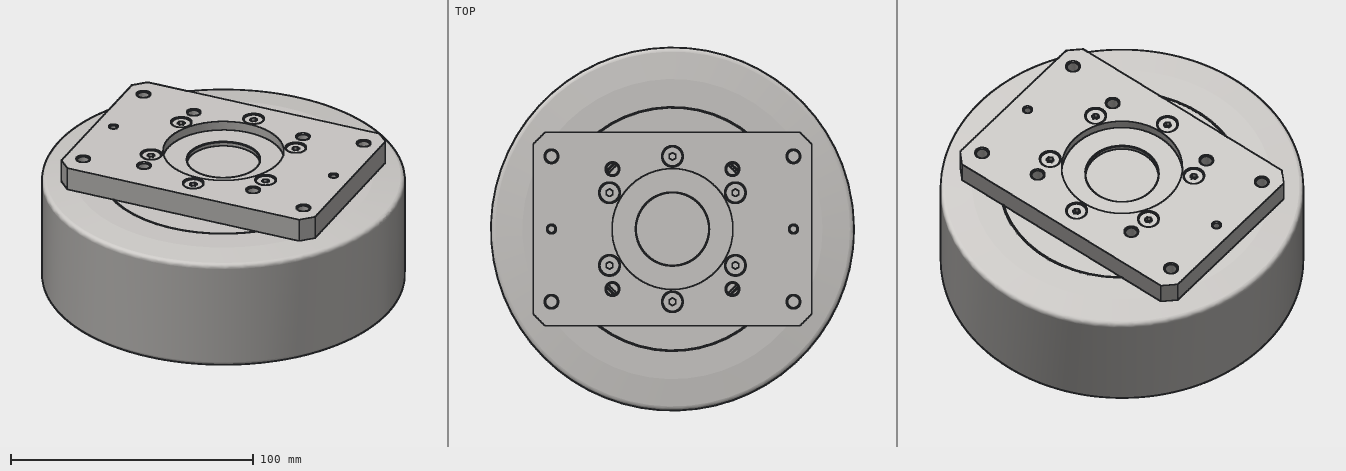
import cadquery as cq
import math

overall_height = 61.0
plate_thickness = 10.0
neck_gap_height = 1.0
drum_height = overall_height - plate_thickness - neck_gap_height
plate_top = overall_height
plate_bottom = plate_top - plate_thickness

drum_diameter = 150
flat_diameter = 123.9
shoulder_angle = 5
rim_radius = 2.0

groove_inner_diameter = 100.0
groove_width = 0.5
groove_depth = 1.0

neck_diameter = 70.0
clearance_width = 0.9
clearance_depth = 1.0
clearance_chamfer = 0.5

plate_length = 115.0
plate_width = 80.0
plate_corner_chamfer = 5.0

recess_diameter = 50.0
recess_depth = 4.0
bore_diameter = 30
bore_depth = 2.0
bore_chamfer = 0.3

hole_chamfer = 0.5
bolt_diameter = 5.0
corner_hole_x = 50.0
corner_hole_y = 30
inner_hole_offset = neck_diameter / 2 * math.sqrt(0.5)
pin_diameter = 3
pin_depth = 6

screw_count = 6
screw_circle_radius = 30
screw_head_diameter = 8.0
screw_recess_depth = 0.5
socket_across_flats = 2.7
socket_depth = 2.2


def revolve_profile(points):
    """Solid of revolution about Z from (radius, height) points."""
    return cq.Workplane("XZ").polyline(points).close().revolve(360, (0, 0), (0, 1))


def cylinder(diameter, bottom, height):
    """Vertical cylinder on the part axis."""
    return cq.Workplane("XY", origin=(0, 0, bottom)).circle(diameter / 2).extrude(height)


def chamfered_hole(diameter, top, depth, chamfer):
    """Cutter going down from top, with a 45 degree chamfer outside the hole diameter."""
    radius = diameter / 2
    return revolve_profile(
        [
            (0, top),
            (radius + chamfer, top),
            (radius, top - chamfer),
            (radius, top - depth),
            (0, top - depth),
        ]
    )


def cut_at(solid, cutter, points):
    """Cut one copy of the cutter at each XY point."""
    for x, y in points:
        solid = solid.cut(cutter.translate((x, y, 0)))
    return solid


def four_corners(x, y):
    """The four mirror images of a point about the X and Y axes."""
    return [(x, y), (-x, y), (-x, -y), (x, -y)]


def make_drum():
    radius = drum_diameter / 2
    flat_radius = flat_diameter / 2
    shoulder_drop = (radius - flat_radius) * math.tan(math.radians(shoulder_angle))
    drum = revolve_profile(
        [
            (0, 0),
            (flat_radius, 0),
            (radius, shoulder_drop),
            (radius, drum_height - shoulder_drop),
            (flat_radius, drum_height),
            (0, drum_height),
        ]
    )
    return drum.edges(cq.selectors.RadiusNthSelector(-1)).fillet(rim_radius)


def cut_groove(drum):
    groove_bottom = drum_height - groove_depth
    groove_outer_diameter = groove_inner_diameter + 2 * groove_width
    outer = cylinder(groove_outer_diameter, groove_bottom, groove_depth)
    core = cylinder(groove_inner_diameter, groove_bottom, groove_depth)
    return drum.cut(outer.cut(core))


def add_neck(drum):
    pocket_diameter = neck_diameter + 2 * clearance_width
    pocket = chamfered_hole(pocket_diameter, drum_height, clearance_depth, clearance_chamfer)
    pocket_floor = drum_height - clearance_depth
    neck = cylinder(neck_diameter, pocket_floor, plate_bottom - pocket_floor)
    return drum.cut(pocket).union(neck)


def make_plate():
    outline = cq.Workplane("XY", origin=(0, 0, plate_bottom)).rect(plate_length, plate_width)
    return outline.extrude(plate_thickness).edges("|Z").chamfer(plate_corner_chamfer)


def cut_plate_holes(plate):
    bolt_hole = chamfered_hole(bolt_diameter, plate_top, plate_thickness, hole_chamfer)
    plate = cut_at(plate, bolt_hole, four_corners(corner_hole_x, corner_hole_y))
    plate = cut_at(plate, bolt_hole, four_corners(inner_hole_offset, inner_hole_offset))
    pin_hole = chamfered_hole(pin_diameter, plate_top, pin_depth, hole_chamfer)
    return cut_at(plate, pin_hole, [(-corner_hole_x, 0), (corner_hole_x, 0)])


def cut_screws(plate):
    top_plane = cq.Workplane("XY", origin=(0, 0, plate_top))
    recess_mouth_radius = screw_head_diameter / 2 + screw_recess_depth
    head_recess = top_plane.circle(recess_mouth_radius).extrude(-screw_recess_depth, taper=45)
    across_corners = socket_across_flats / math.cos(math.pi / 6)
    socket_plane = top_plane.transformed(rotate=(0, 0, 90))
    socket = socket_plane.polygon(6, across_corners).extrude(-screw_recess_depth - socket_depth)
    screw = head_recess.union(socket)
    first_angle = math.pi / 2
    angles = [first_angle + 2 * math.pi * i / screw_count for i in range(screw_count)]
    points = [(screw_circle_radius * math.cos(a), screw_circle_radius * math.sin(a)) for a in angles]
    return cut_at(plate, screw, points)


def cut_center(solid):
    recess_floor = plate_top - recess_depth
    recess = cylinder(recess_diameter, recess_floor, recess_depth)
    bore = chamfered_hole(bore_diameter, recess_floor, bore_depth, bore_chamfer)
    return solid.cut(recess).cut(bore)


drum = add_neck(cut_groove(make_drum()))
plate = cut_center(cut_screws(cut_plate_holes(make_plate())))
result = drum.union(plate)